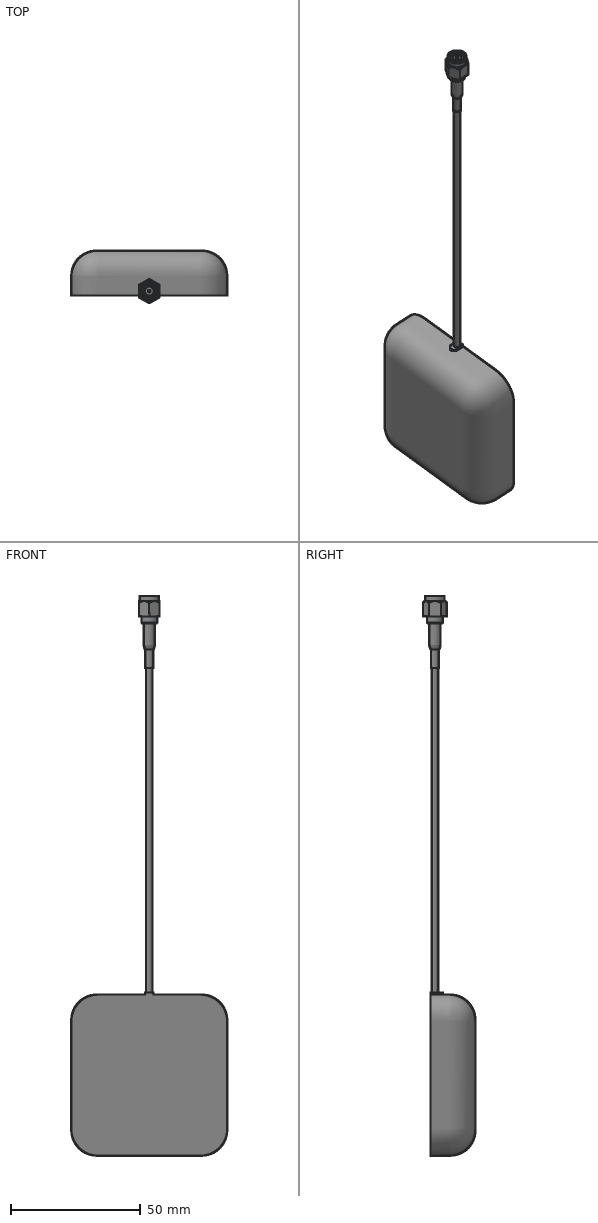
import cadquery as cq
import math


HOUSING_WIDTH = 60.5
HOUSING_DEPTH = 17.5
HOUSING_HEIGHT = 62.5
CORNER_RADIUS = 10.2
BACK_FILLET = 10.0

PAD_WIDTH = 3.3
PAD_DEPTH = 5.0
PAD_HEIGHT = 0.7

TOTAL_HEIGHT = 216.87
RIM_LENGTH = 2.0
HEX_LENGTH = 6.0
COLLAR_LENGTH = 2.8
BARREL_LENGTH = 9.4
TAPER_LENGTH = 0.6
TAIL_LENGTH = 7.1

HEX_ACROSS_FLATS = 8.0
HEX_CORNER_RADIUS = HEX_ACROSS_FLATS / math.sqrt(3)
HEX_TRIM_HEIGHT = 0.7
RIM_DIAMETER = 7.5
COLLAR_DIAMETER = 6.2
COLLAR_CHAMFER = 0.5
NUT_BORE_DIAMETER = 6.4
NUT_BORE_DEPTH = 4.0
SOCKET_DIAMETER = 3.6
SOCKET_RING_DIAMETER = 5.4
SOCKET_SETBACK = 0.3
PIN_DIAMETER = 0.9

BARREL_DIAMETER = 4.4
TAIL_DIAMETER = 3.2
BARREL_END_INSET = 0.3
BARREL_END_LENGTH = 1.0
CABLE_DIAMETER = 2.6

HEX_OVERHANG = 2.85
AXIS_Y = HEX_CORNER_RADIUS - HEX_OVERHANG

HEX_TOP = TOTAL_HEIGHT - RIM_LENGTH
HEX_BOTTOM = HEX_TOP - HEX_LENGTH
CONNECTOR_BOTTOM = HEX_BOTTOM - COLLAR_LENGTH
BARREL_BOTTOM = CONNECTOR_BOTTOM - BARREL_LENGTH
TAIL_TOP = BARREL_BOTTOM - TAPER_LENGTH
SLEEVE_BOTTOM = TAIL_TOP - TAIL_LENGTH
PAD_TOP = HOUSING_HEIGHT + PAD_HEIGHT


def cylinder(diameter, bottom, top):
    """Round bar on the cable axis between two heights."""
    return cq.Workplane("XY", origin=(0, AXIS_Y, bottom)).circle(diameter / 2).extrude(top - bottom)


def make_pad():
    """Low pad on the top edge, flush with the front face and rounded at the back."""
    straight_depth = PAD_DEPTH - PAD_WIDTH / 2
    return (
        cq.Workplane("XY", origin=(0, 0, HOUSING_HEIGHT))
        .moveTo(-PAD_WIDTH / 2, 0)
        .lineTo(-PAD_WIDTH / 2, straight_depth)
        .threePointArc((0, PAD_DEPTH), (PAD_WIDTH / 2, straight_depth))
        .lineTo(PAD_WIDTH / 2, 0)
        .close()
        .extrude(PAD_HEIGHT)
    )


def make_housing():
    """Rounded block with a large fillet around its back face and the cable pad on top."""
    block = (
        cq.Workplane("XY")
        .box(HOUSING_WIDTH, HOUSING_DEPTH, HOUSING_HEIGHT, centered=(True, False, False))
        .edges("|Y")
        .fillet(CORNER_RADIUS)
        .faces(">Y")
        .edges()
        .fillet(BACK_FILLET)
    )
    return block.union(make_pad())


def make_cable():
    """Straight cable from the housing pad, through the sleeve, to the connector."""
    return cylinder(CABLE_DIAMETER, PAD_TOP, CONNECTOR_BOTTOM)


def make_sleeve():
    """Crimp sleeve: a wide barrel over a thin tail, bored for the cable."""
    barrel = cylinder(BARREL_DIAMETER, BARREL_BOTTOM, CONNECTOR_BOTTOM)
    barrel = barrel.faces("<Z").edges().chamfer(BARREL_END_LENGTH, BARREL_END_INSET)
    tail = cylinder(TAIL_DIAMETER, SLEEVE_BOTTOM, TAIL_TOP)
    taper = (
        cq.Workplane("XY", origin=(0, AXIS_Y, TAIL_TOP))
        .circle(TAIL_DIAMETER / 2)
        .workplane(offset=TAPER_LENGTH)
        .circle(BARREL_DIAMETER / 2 - BARREL_END_INSET)
        .loft()
    )
    bore = cylinder(CABLE_DIAMETER, SLEEVE_BOTTOM, CONNECTOR_BOTTOM)
    return barrel.union(taper).union(tail).cut(bore)


def make_hex():
    """Hexagon with a corner pointing forward and its upper corners trimmed."""
    prism = (
        cq.Workplane("XY", origin=(0, AXIS_Y, HEX_BOTTOM))
        .transformed(rotate=(0, 0, 90))
        .polygon(6, 2 * HEX_CORNER_RADIUS)
        .extrude(HEX_LENGTH)
    )
    trim_width = HEX_CORNER_RADIUS - HEX_ACROSS_FLATS / 2
    trim = (
        cylinder(2 * HEX_CORNER_RADIUS, HEX_BOTTOM, HEX_TOP)
        .faces(">Z")
        .edges()
        .chamfer(HEX_TRIM_HEIGHT, trim_width)
    )
    return prism.intersect(trim)


def make_connector():
    """Hex coupling with a round rim, a collar below, and a contact pin in its open end."""
    rim = cylinder(RIM_DIAMETER, HEX_TOP, TOTAL_HEIGHT)
    collar = cylinder(COLLAR_DIAMETER, CONNECTOR_BOTTOM, HEX_BOTTOM).faces("<Z").chamfer(COLLAR_CHAMFER)
    bore_floor = TOTAL_HEIGHT - NUT_BORE_DEPTH
    bore = cylinder(NUT_BORE_DIAMETER, bore_floor, TOTAL_HEIGHT)
    shell = make_hex().union(rim).union(collar).cut(bore)
    ring_top = TOTAL_HEIGHT - SOCKET_SETBACK
    ring = cylinder(SOCKET_RING_DIAMETER, bore_floor, ring_top)
    socket = cylinder(SOCKET_DIAMETER, bore_floor, ring_top)
    pin = cylinder(PIN_DIAMETER, bore_floor, ring_top)
    return shell.union(ring.cut(socket)).union(pin)


housing = make_housing()
cable = make_cable()
sleeve = make_sleeve()
connector = make_connector()

result = cq.Compound.makeCompound([housing.val(), cable.val(), sleeve.val(), connector.val()])